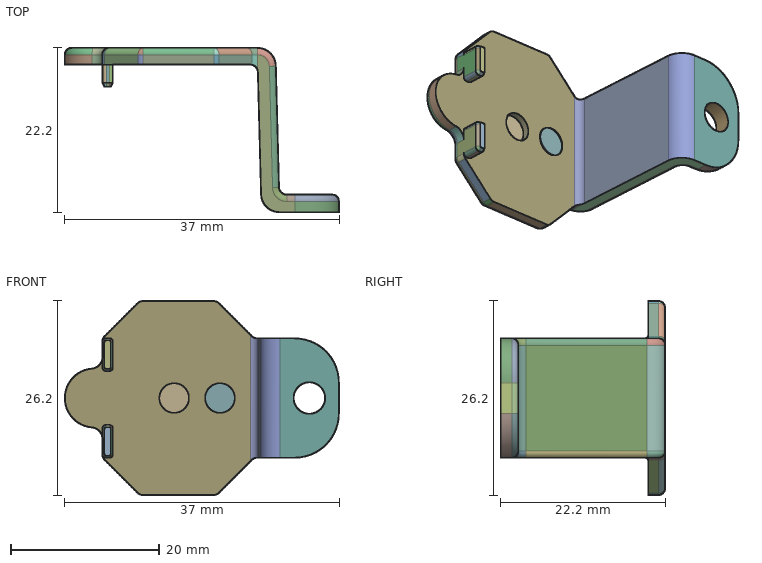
import cadquery as cq
import math


total_length = 36.98
total_depth = 22.2
plate_height = 26.2

plate_thickness = 2.3
wall_thickness = 2.48
foot_thickness = 2.4
wall_lean = math.radians(1.5)
wall_start_x = 26.0
inner_bend_radius = 1.0
outer_bend_radius = 2.5
edge_round = 0.92

plate_left = 5.05
plate_corner = 5.05
top_right_x = 20.5
corner_radius = 1.0
lug_radius = 4.0
lug_blend_radius = 1.5

strip_width = 16.12
foot_corner_radius = 6.0
foot_hole_diameter = 4.2
foot_hole_x = 33.0

pocket_diameter = 4.0
deep_pocket_x = 14.75
deep_pocket_depth = 1.0
shallow_pocket_x = 20.93
shallow_pocket_depth = 0.1

tab_thickness = 1.45
tab_bottom = 3.62
tab_top = 8.05
tab_height = 3.0
tab_edge_round = 0.5
tab_tip_length = 0.6
tab_tip_inset = 0.3

facing_tolerance = 0.01

plate_front_y = -plate_thickness
foot_front_y = -total_depth
foot_back_y = foot_front_y + foot_thickness


def wall_x(y, offset):
    """X of the leaning wall at a given Y, offset from its front side."""
    return wall_start_x + (plate_front_y - y) * math.tan(wall_lean) + offset / math.cos(wall_lean)


def bent_sheet():
    """Z-shaped sheet of full plate height, with its bends rounded."""
    upper_inside = (wall_x(plate_front_y, 0), plate_front_y)
    lower_outside = (wall_x(foot_front_y, 0), foot_front_y)
    lower_inside = (wall_x(foot_back_y, wall_thickness), foot_back_y)
    upper_outside = (wall_x(0, wall_thickness), 0)
    sheet = (
        cq.Workplane("XY")
        .polyline([
            (0, 0),
            (0, plate_front_y),
            upper_inside,
            lower_outside,
            (total_length, foot_front_y),
            (total_length, foot_back_y),
            lower_inside,
            upper_outside,
        ])
        .close()
        .extrude(plate_height / 2, both=True)
    )
    bends = [
        (upper_inside, inner_bend_radius),
        (lower_inside, inner_bend_radius),
        (upper_outside, outer_bend_radius),
        (lower_outside, outer_bend_radius),
    ]
    for (x, y), radius in bends:
        sheet = sheet.edges(cq.NearestToPointSelector((x, y, 0))).fillet(radius)
    return sheet


def outline_prism():
    """Flat outline of plate, lug, wall and foot, as a prism along Y."""
    half_height = plate_height / 2
    half_strip = strip_width / 2
    side_z = half_height - plate_corner
    strip_start_x = top_right_x + half_height - half_strip
    top_left_x = plate_left + plate_corner
    upper_half = [
        (plate_left, side_z),
        (top_left_x, half_height),
        (top_right_x, half_height),
        (strip_start_x, half_strip),
        (total_length, half_strip),
    ]
    lower_half = [(x, -z) for x, z in reversed(upper_half)]
    outline = (
        cq.Workplane("XZ").polyline(upper_half + lower_half).close().extrude(total_depth)
    )
    lug = cq.Workplane("XZ").center(lug_radius, 0).circle(lug_radius).extrude(total_depth)
    outline = outline.union(lug)

    lug_joint_z = math.sqrt(lug_radius**2 - (plate_left - lug_radius) ** 2)
    corners = [(point, corner_radius) for point in upper_half[:-1]]
    corners.append((upper_half[-1], foot_corner_radius))
    corners.append(((plate_left, lug_joint_z), lug_blend_radius))
    for (x, z), radius in corners:
        for side in (1, -1):
            corner = cq.NearestToPointSelector((x, -total_depth / 2, side * z))
            outline = outline.edges("|Y").edges(corner).fillet(radius)
    return outline


def back_rim(body):
    """Edges around the back side, without the lines where its own faces meet."""
    back_faces = [face for face in body.faces().vals() if face.normalAt().y > facing_tolerance]
    edges = [edge for face in back_faces for edge in face.Edges()]
    return [edge for edge in edges if sum(edge.isSame(other) for other in edges) == 1]


def pocket(x, depth):
    """Round cutter sunk into the plate's front face."""
    return (
        cq.Workplane("XZ", origin=(x, plate_front_y, 0))
        .circle(pocket_diameter / 2)
        .extrude(-depth)
    )


def tab():
    """Upper locating tab, with rounded long edges and a tapered tip."""
    return (
        cq.Workplane("XZ", origin=(0, plate_front_y, 0))
        .moveTo(plate_left + tab_thickness / 2, (tab_bottom + tab_top) / 2)
        .rect(tab_thickness, tab_top - tab_bottom)
        .extrude(tab_height)
        .edges("|Y")
        .fillet(tab_edge_round)
        .faces("<Y")
        .chamfer(tab_tip_length, tab_tip_inset)
    )


sheet_body = bent_sheet().intersect(outline_prism())
bracket = cq.Workplane(sheet_body.val().fillet(edge_round, back_rim(sheet_body)))

foot_hole = (
    cq.Workplane("XZ")
    .center(foot_hole_x, 0)
    .circle(foot_hole_diameter / 2)
    .extrude(total_depth)
)
bracket = bracket.cut(foot_hole)
bracket = bracket.cut(pocket(deep_pocket_x, deep_pocket_depth))
bracket = bracket.cut(pocket(shallow_pocket_x, shallow_pocket_depth))

upper_tab = tab()
result = bracket.union(upper_tab).union(upper_tab.mirror("XY"))